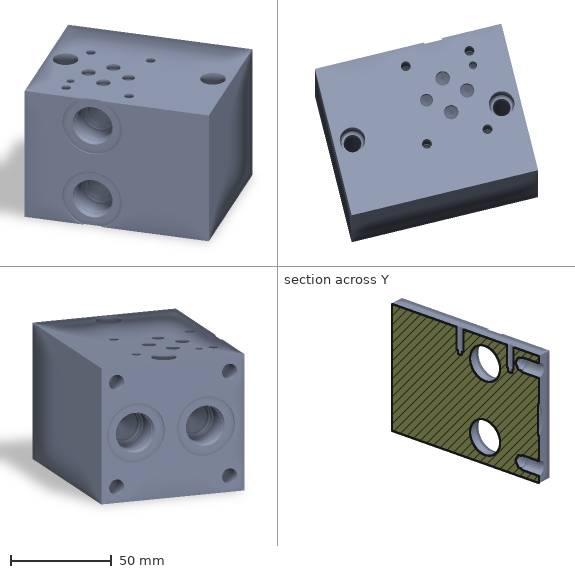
import cadquery as cq
import math

LENGTH, WIDTH, HEIGHT = 95.25, 76.2, 69.8

SPOTFACE_DIA = 30.7
SPOTFACE_DEPTH = 0.8
SEAT_MOUTH_DIA = 20.6
SEAT_END_DIA = 19.2
SEAT_DEPTH = 3.3
THREAD_DIA = 19.05
THREAD_DEPTH = 14.3
TAP_DRILL_DIA = 17.5
TAP_DRILL_DEPTH = 16.2
PILOT_DEPTH = 19.05
POINT_ANGLE = 118.0

FRONT_PORT_X = 35.0
FRONT_PORT_EDGE = 14.7
FRONT_PILOT_DIA = 14.3

LEFT_PORT_YS = (20.7, 57.9)
LEFT_PILOT_DIA = 15.9

CORNER_EDGE = 8.1
CORNER_THREAD_DIA = 7.9
CORNER_DRILL_DIA = 6.6
CORNER_THREAD_DEPTH = 11.4
CORNER_DRILL_DEPTH = 13.3

MOUNT_EDGE = 9.5
MOUNT_Y = 39.3
MOUNT_DIA = 8.8
MOUNT_BORE_DIA = 12.7
MOUNT_BORE_DEPTH = 9.5

VALVE_BOLTS = ((18.7, 9.5), (51.15, 9.5), (19.4, 50.1), (50.4, 50.1))
BOLT_THREAD_DIA = 4.9
BOLT_DRILL_DIA = 3.8
BOLT_THREAD_DEPTH = 12.4
BOLT_DRILL_DEPTH = 14.3

PIN_HOLE = (18.7, 17.05)
PIN_DIA = 4.0
PIN_DEPTH = 4.8

FLOW_DIA = 7.1
NARROW_FLOW_DIA = 6.4
FLOW_HOLES = (
    (34.9, 19.8, FLOW_DIA),
    (34.9, 37.4, FLOW_DIA),
    (24.6, 28.7, FLOW_DIA),
    (45.2, 28.7, NARROW_FLOW_DIA),
)
FLOW_DEPTH = 2.3

def point_length(diameter):
    """Length of the drill point that takes a hole of this diameter to its tip."""
    return diameter / 2 / math.tan(math.radians(POINT_ANGLE / 2))

def bore(profile):
    """Turn (diameter, depth) pairs into a bore along -Z, closed at both ends on its axis."""
    points = [(0, 0)] + [(diameter / 2, -depth) for diameter, depth in profile]
    return cq.Workplane("XZ").polyline(points).close().revolve(360, (0, 0), (0, 1))

def drilled_hole(diameter, depth):
    """Blind hole with a drill point; the depth is that of the straight wall."""
    return bore([(diameter, 0), (diameter, depth), (0, depth + point_length(diameter))])

def tapped_hole(thread_dia, thread_depth, drill_dia, drill_depth):
    """Thread bore with a flat end around a deeper tap drill."""
    return drilled_hole(drill_dia, drill_depth).union(
        bore([(thread_dia, 0), (thread_dia, thread_depth), (0, thread_depth)])
    )

def port(pilot_dia):
    """Spotfaced port whose pilot drill leaves the conical end of the tap drill."""
    tap_cone = point_length(TAP_DRILL_DIA) - point_length(pilot_dia)
    return bore([
        (SPOTFACE_DIA, 0),
        (SPOTFACE_DIA, SPOTFACE_DEPTH),
        (SEAT_MOUTH_DIA, SPOTFACE_DEPTH),
        (SEAT_END_DIA, SEAT_DEPTH),
        (THREAD_DIA, SEAT_DEPTH),
        (THREAD_DIA, THREAD_DEPTH),
        (TAP_DRILL_DIA, THREAD_DEPTH),
        (TAP_DRILL_DIA, TAP_DRILL_DEPTH),
        (pilot_dia, TAP_DRILL_DEPTH + tap_cone),
        (pilot_dia, PILOT_DEPTH),
        (0, PILOT_DEPTH + point_length(pilot_dia)),
    ])

def from_front(tool, x, z):
    """Turn a -Z bore to run along +Y from the front face."""
    return tool.rotate((0, 0, 0), (1, 0, 0), 90).translate((x, 0, z))

def from_left(tool, y, z):
    """Turn a -Z bore to run along +X from the left face."""
    return tool.rotate((0, 0, 0), (0, 1, 0), -90).translate((0, y, z))

def from_top(tool, x, y):
    """Move a -Z bore to the top face."""
    return tool.translate((x, y, HEIGHT))

result = cq.Workplane("XY").box(LENGTH, WIDTH, HEIGHT, centered=False)

for z in (FRONT_PORT_EDGE, HEIGHT - FRONT_PORT_EDGE):
    result = result.cut(from_front(port(FRONT_PILOT_DIA), FRONT_PORT_X, z))

for y in LEFT_PORT_YS:
    result = result.cut(from_left(port(LEFT_PILOT_DIA), y, HEIGHT / 2))

corner_hole = tapped_hole(CORNER_THREAD_DIA, CORNER_THREAD_DEPTH, CORNER_DRILL_DIA, CORNER_DRILL_DEPTH)
for y in (CORNER_EDGE, WIDTH - CORNER_EDGE):
    for z in (CORNER_EDGE, HEIGHT - CORNER_EDGE):
        result = result.cut(from_left(corner_hole, y, z))

mount_hole = bore([
    (MOUNT_BORE_DIA, 0),
    (MOUNT_BORE_DIA, MOUNT_BORE_DEPTH),
    (MOUNT_DIA, MOUNT_BORE_DEPTH),
    (MOUNT_DIA, HEIGHT),
    (0, HEIGHT),
])
for x in (MOUNT_EDGE, LENGTH - MOUNT_EDGE):
    result = result.cut(from_top(mount_hole, x, MOUNT_Y))

bolt_hole = tapped_hole(BOLT_THREAD_DIA, BOLT_THREAD_DEPTH, BOLT_DRILL_DIA, BOLT_DRILL_DEPTH)
for x, y in VALVE_BOLTS:
    result = result.cut(from_top(bolt_hole, x, y))

result = result.cut(from_top(drilled_hole(PIN_DIA, PIN_DEPTH), *PIN_HOLE))

for x, y, diameter in FLOW_HOLES:
    result = result.cut(from_top(drilled_hole(diameter, FLOW_DEPTH), x, y))